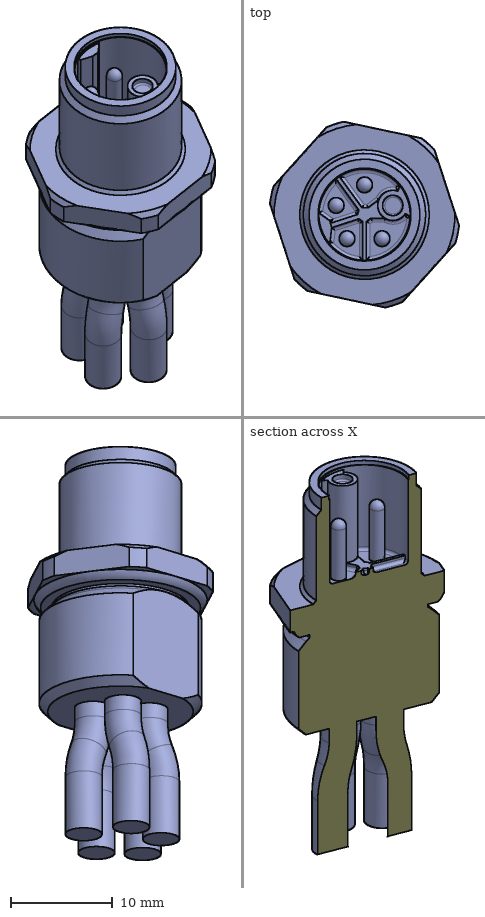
import cadquery as cq
import math

WIRE_BEND_BOTTOM = 6.0
WIRE_BEND_TOP = 12.05
BODY_BOTTOM = 13.55
BODY_CHAMFER = 0.86
BODY_TOP = 23.0
SHOULDER_TOP = 23.85
NECK_BOTTOM = 24.2
SEAL_BOTTOM = 24.45
HEX_BOTTOM = 25.27
HEX_TOP = 27.76
SHANK_BOTTOM = 28.1
SHANK_TOP = 37.4
NOSE_BOTTOM = 37.95
TOTAL_HEIGHT = 39.3

BODY_RADIUS = 8.0
SHOULDER_RADIUS = 7.15
NECK_RADIUS = 6.75
SHANK_RADIUS = 6.0
FLARE_RADIUS = 6.35
NOSE_RADIUS = 5.43

SEAL_TOP_RADIUS = 8.5
SEAL_MIDDLE_RADIUS = 8.28
SEAL_BOTTOM_RADIUS = 7.85

CONTACT_PITCH = 72.0
FIRST_CONTACT_ANGLE = 90.0
EARTH_ANGLE = FIRST_CONTACT_ANGLE - CONTACT_PITCH
HEX_SIDES = 6
HEX_ACROSS_FLATS = 17.0
HEX_CORNER_RADIUS = 9.35
HEX_CHAMFER = 0.48
BODY_FLAT_DISTANCE = 6.8

BORE_RADIUS = 4.56
INSERT_RADIUS = 4.48
LEDGE_DEPTH = 0.45
LEDGE_TOP = TOTAL_HEIGHT - LEDGE_DEPTH
POST_DEPTH = 0.72
POST_TOP = TOTAL_HEIGHT - POST_DEPTH
FLOOR = 29.5
RIB_HEIGHT = 0.6
RIB_TOP = FLOOR + RIB_HEIGHT
FLOOR_FILLET = 0.35
RIB_WIDTHS_BY_ANGLE = {126.0: 0.4, 198.0: 0.45, 270.0: 0.36}
HUB_CORNER_RADIUS = 0.82

OVERLAP = 0.6
CONTACT_CIRCLE = 2.92
PIN_RADIUS = 0.77
PIN_TIP = 35.9
PIN_ANGLES = [FIRST_CONTACT_ANGLE + CONTACT_PITCH * i for i in range(4)]
EARTH_POST_RADIUS = 1.48
EARTH_HOLE_RADIUS = 1.0
EARTH_HOLE_DEPTH = 0.65
EARTH_HOLE_FLOOR_FILLET = 0.18
EARTH_BACKING_ANGLES = (-3.0, 40.0)
EARTH_WEB_HUB_WIDTH = 0.7
EARTH_WEB_POST_HALF_WIDTH = 1.35

KEY_ANGLES = (177.0, 219.0)
KEY_CORNERS = [(-3.37, -2.57), (-3.22, -1.28), (-3.4, -0.6)]

WIRE_RADIUS = 1.8
WIRE_LOWER_CENTRES = {
    FIRST_CONTACT_ANGLE: (-0.35, 4.06),
    FIRST_CONTACT_ANGLE + CONTACT_PITCH: (-4.0, 0.53),
    FIRST_CONTACT_ANGLE + 2 * CONTACT_PITCH: (-2.02, -3.48),
    FIRST_CONTACT_ANGLE + 3 * CONTACT_PITCH: (2.5, -3.4),
    EARTH_ANGLE: (3.96, 0.9),
}


def polar(radius, angle):
    """Point at a radius and an angle in degrees."""
    return (radius * math.cos(math.radians(angle)), radius * math.sin(math.radians(angle)))


def cylinder(radius, bottom, top, centre=(0, 0)):
    """Upright cylinder between two heights."""
    return cq.Workplane("XY").workplane(offset=bottom).center(*centre).circle(radius).extrude(top - bottom)


def make_shell():
    """Turned outer shape without the hexagon and the socket."""
    seal_middle = (SEAL_BOTTOM + HEX_BOTTOM) / 2
    return (
        cq.Workplane("XZ")
        .moveTo(0, BODY_BOTTOM)
        .lineTo(BODY_RADIUS - BODY_CHAMFER, BODY_BOTTOM)
        .lineTo(BODY_RADIUS, BODY_BOTTOM + BODY_CHAMFER)
        .lineTo(BODY_RADIUS, BODY_TOP)
        .lineTo(SHOULDER_RADIUS, SHOULDER_TOP)
        .lineTo(NECK_RADIUS, NECK_BOTTOM)
        .lineTo(NECK_RADIUS, SEAL_BOTTOM)
        .lineTo(SEAL_BOTTOM_RADIUS, SEAL_BOTTOM)
        .threePointArc((SEAL_MIDDLE_RADIUS, seal_middle), (SEAL_TOP_RADIUS, HEX_BOTTOM))
        .lineTo(FLARE_RADIUS, HEX_BOTTOM)
        .lineTo(FLARE_RADIUS, HEX_TOP)
        .lineTo(SHANK_RADIUS, SHANK_BOTTOM)
        .lineTo(SHANK_RADIUS, SHANK_TOP)
        .lineTo(NOSE_RADIUS, NOSE_BOTTOM)
        .lineTo(NOSE_RADIUS, TOTAL_HEIGHT)
        .lineTo(0, TOTAL_HEIGHT)
        .close()
        .revolve(360, (0, 0, 0), (0, 1, 0))
    )


def cut_body_flats(shell):
    """Two opposite flats on the lower body."""
    waste_radius = 2 * BODY_RADIUS
    slab = (
        cq.Workplane("XY", origin=(0, 0, BODY_BOTTOM))
        .rect(2 * BODY_FLAT_DISTANCE, 2 * waste_radius)
        .extrude(SEAL_BOTTOM - BODY_BOTTOM)
        .rotate((0, 0, 0), (0, 0, 1), EARTH_ANGLE)
    )
    waste = cylinder(waste_radius, BODY_BOTTOM, SEAL_BOTTOM).cut(slab)
    return shell.cut(waste)


def make_hexagon():
    """Hexagonal flange with rounded corners and a chamfered top rim."""
    height = HEX_TOP - HEX_BOTTOM
    half_side_angle = 180 / HEX_SIDES
    across_corners = HEX_ACROSS_FLATS / math.cos(math.radians(half_side_angle))
    prism = (
        cq.Workplane("XY", origin=(0, 0, HEX_BOTTOM))
        .polygon(HEX_SIDES, across_corners)
        .extrude(height)
        .rotate((0, 0, 0), (0, 0, 1), EARTH_ANGLE + half_side_angle)
    )
    blank = cylinder(HEX_CORNER_RADIUS, HEX_BOTTOM, HEX_TOP).faces(">Z").chamfer(HEX_CHAMFER)
    return prism.intersect(blank)


def make_hub():
    """Five-sided hub whose sides face the contacts."""
    return (
        cq.Workplane("XY", origin=(0, 0, FLOOR))
        .polygon(len(PIN_ANGLES) + 1, 2 * HUB_CORNER_RADIUS)
        .extrude(RIB_HEIGHT)
        .rotate((0, 0, 0), (0, 0, 1), FIRST_CONTACT_ANGLE + CONTACT_PITCH / 2)
    )


def make_rib(angle, width):
    """Radial rib standing on the socket floor."""
    return (
        cq.Workplane("XY", origin=(BORE_RADIUS / 2, 0, FLOOR))
        .rect(BORE_RADIUS, width)
        .extrude(RIB_HEIGHT)
        .rotate((0, 0, 0), (0, 0, 1), angle)
    )


def make_earth_post():
    """Earth-contact post with its backing against the wall and its web to the hub."""
    centre = polar(CONTACT_CIRCLE, EARTH_ANGLE)
    post = cylinder(EARTH_POST_RADIUS, FLOOR, POST_TOP, centre)
    start, end = EARTH_BACKING_ANGLES
    backing = (
        cq.Workplane("XY", origin=(0, 0, FLOOR))
        .moveTo(*centre)
        .lineTo(*polar(BORE_RADIUS, start))
        .threePointArc(polar(BORE_RADIUS, (start + end) / 2), polar(BORE_RADIUS, end))
        .close()
        .extrude(POST_TOP - FLOOR)
    )
    half_hub = EARTH_WEB_HUB_WIDTH / 2
    web_outline = [
        (0, -half_hub),
        (CONTACT_CIRCLE, -EARTH_WEB_POST_HALF_WIDTH),
        (CONTACT_CIRCLE, EARTH_WEB_POST_HALF_WIDTH),
        (0, half_hub),
    ]
    web = (
        cq.Workplane("XY", origin=(0, 0, FLOOR))
        .polyline(web_outline)
        .close()
        .extrude(RIB_HEIGHT)
        .rotate((0, 0, 0), (0, 0, 1), EARTH_ANGLE)
    )
    return post.union(backing).union(web)


def make_earth_hole():
    """Blind hole in the end of the earth post, rounded at its floor."""
    centre = polar(CONTACT_CIRCLE, EARTH_ANGLE)
    hole = cylinder(EARTH_HOLE_RADIUS, POST_TOP - EARTH_HOLE_DEPTH, POST_TOP, centre)
    return hole.faces("<Z").edges().fillet(EARTH_HOLE_FLOOR_FILLET)


def make_key():
    """Coding key: a flat-sided pad on the socket wall, as tall as the earth post."""
    start, end = KEY_ANGLES
    outline = (
        cq.Workplane("XY", origin=(0, 0, FLOOR))
        .moveTo(*polar(BORE_RADIUS, start))
        .threePointArc(polar(BORE_RADIUS, (start + end) / 2), polar(BORE_RADIUS, end))
    )
    for corner in KEY_CORNERS:
        outline = outline.lineTo(*corner)
    return outline.close().extrude(POST_TOP - FLOOR)


def make_pin(angle):
    """Contact pin with a hemispherical tip."""
    centre = polar(CONTACT_CIRCLE, angle)
    dome_base = PIN_TIP - PIN_RADIUS
    dome = cq.Workplane("XY").sphere(PIN_RADIUS).translate((centre[0], centre[1], dome_base))
    return cylinder(PIN_RADIUS, FLOOR - OVERLAP, dome_base, centre).union(dome)


def make_wire(upper_angle, lower_centre):
    """Wire leaving the body straight down, then splayed outward by an S-bend."""
    x, y = polar(CONTACT_CIRCLE, upper_angle)
    shift_x = lower_centre[0] - x
    shift_y = lower_centre[1] - y
    bend_middle = (WIRE_BEND_TOP + WIRE_BEND_BOTTOM) / 2
    down = cq.Vector(0, 0, -1)
    upper = cq.Vector(x, y, WIRE_BEND_TOP)
    middle = cq.Vector(x + shift_x / 2, y + shift_y / 2, bend_middle)
    lower = cq.Vector(lower_centre[0], lower_centre[1], WIRE_BEND_BOTTOM)
    upper_arc = cq.Edge.makeTangentArc(upper, down, middle)
    lower_arc = cq.Edge.makeTangentArc(lower, -down, middle)
    path = cq.Workplane(cq.Wire.assembleEdges([upper_arc, lower_arc]))
    bend = cq.Workplane("XY", origin=upper.toTuple()).circle(WIRE_RADIUS).sweep(path)
    root = cylinder(WIRE_RADIUS, WIRE_BEND_TOP, BODY_BOTTOM + OVERLAP, (x, y))
    tail = cylinder(WIRE_RADIUS, 0, WIRE_BEND_BOTTOM, lower_centre)
    return root.union(bend).union(tail)


def make_insert():
    """Everything standing on the socket floor apart from the pins."""
    insert = make_hub()
    for angle, width in RIB_WIDTHS_BY_ANGLE.items():
        insert = insert.union(make_rib(angle, width))
    insert = insert.union(make_key()).union(make_earth_post())
    return insert.intersect(cylinder(BORE_RADIUS, FLOOR, POST_TOP))


def fillet_floor(body):
    """Round the foot of every wall around the pockets in the socket floor."""
    pocket_floors = cq.selectors.BoxSelector(
        (-BORE_RADIUS, -BORE_RADIUS, FLOOR - RIB_HEIGHT / 2),
        (BORE_RADIUS, BORE_RADIUS, FLOOR + RIB_HEIGHT / 2),
    )
    return body.faces("+Z").faces(pocket_floors).edges().fillet(FLOOR_FILLET)


shell = cut_body_flats(make_shell()).union(make_hexagon())
shell = shell.cut(cylinder(BORE_RADIUS, LEDGE_TOP, TOTAL_HEIGHT))
shell = shell.cut(cylinder(INSERT_RADIUS, FLOOR, LEDGE_TOP))
result = fillet_floor(shell.union(make_insert()))
result = result.cut(make_earth_hole())
for pin_angle in PIN_ANGLES:
    result = result.union(make_pin(pin_angle))
for wire_angle, wire_lower_centre in WIRE_LOWER_CENTRES.items():
    result = result.union(make_wire(wire_angle, wire_lower_centre))